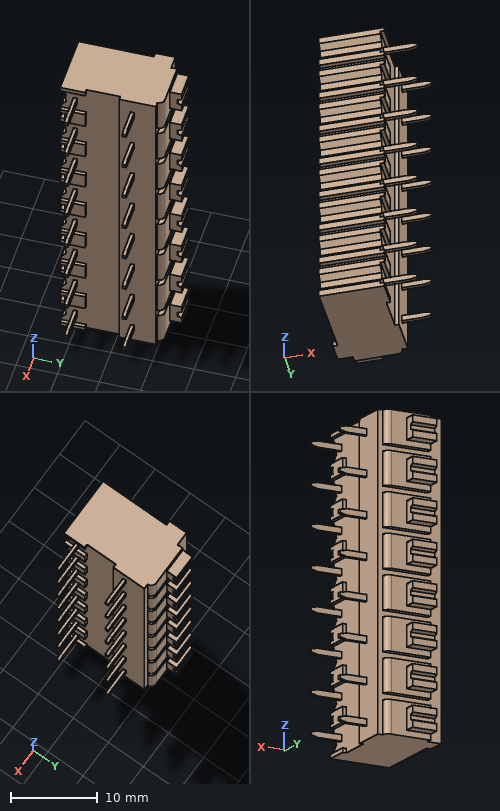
import cadquery as cq


position_count = 8
length = 39.2
cell_height = 4.2
pitch = (length - cell_height) / (position_count - 1)
gap_height = pitch - cell_height

body_right = 8.4
wall_left = 0.6
shoulder_bottom = 9.05
shoulder_top = 11.52
shoulder_right = 7.72
crown_left = 1.8
crown_top = 12.25
crown_radius = crown_top - shoulder_top
standoff_height = 0.47
channel_bottom = 3.0
channel_top = 7.1

rib_recess_top = 10.43
rib_width = 0.7

groove_depth = 0.6
groove_mouth = 2.4
groove_floor = 0.98
pocket_width = 3.1

block_left = 1.75
block_right = 4.95
block_top = 13.65
block_width = 2.65
notch_mouth = 0.98
notch_floor = 0.5
notch_depth = 0.5

pin_end = 11.9
pin_width = 0.8
pin_thickness = 0.45
pin_tip_width = 0.4
pin_tip_length = 0.82
pin_rows = (1.72, 8.7)

cell_centers = [cell_height / 2 + i * pitch for i in range(position_count)]
gap_centers = [cell_height + gap_height / 2 + i * pitch for i in range(position_count - 1)]


def box(x_range, y_range, z_range):
    """Box between the given low and high limits on each axis."""
    (x0, x1), (y0, y1), (z0, z1) = x_range, y_range, z_range
    return cq.Workplane("XY").box(x1 - x0, y1 - y0, z1 - z0, centered=False).translate((x0, y0, z0))


def span(center, width):
    """Low and high limit of a width centred on a position."""
    return center - width / 2, center + width / 2


def make_housing():
    """Constant cross-section along Z: shoulder, rounded crown and two standoffs."""
    standoff_base = body_right - standoff_height
    return (
        cq.Workplane("XY")
        .moveTo(wall_left, 0)
        .lineTo(body_right, 0)
        .lineTo(body_right, channel_bottom)
        .lineTo(standoff_base, channel_bottom)
        .lineTo(standoff_base, channel_top)
        .lineTo(body_right, channel_top)
        .lineTo(body_right, shoulder_top)
        .lineTo(shoulder_right, shoulder_top)
        .radiusArc((shoulder_right - crown_radius, crown_top), -crown_radius)
        .lineTo(crown_left, crown_top)
        .lineTo(crown_left, shoulder_top)
        .lineTo(0, shoulder_top)
        .lineTo(0, shoulder_bottom)
        .lineTo(wall_left, shoulder_bottom)
        .close()
        .extrude(length)
    )


def make_gap_slots(z):
    """Slots between neighbouring cells, in the side wall and through the crown."""
    z_range = span(z, gap_height)
    wall_slot = box((0, body_right), (0, groove_depth), z_range)
    crown_slot = box((crown_left, body_right), (shoulder_top, crown_top), z_range)
    return wall_slot.union(crown_slot)


def make_rib_recesses():
    """Recesses under the shoulder that leave one rib at each gap and at both ends."""
    rib_centers = [rib_width / 2, *gap_centers, length - rib_width / 2]
    recesses = cq.Workplane("XY")
    for lower, upper in zip(rib_centers, rib_centers[1:]):
        z_range = (lower + rib_width / 2, upper - rib_width / 2)
        recesses = recesses.add(box((0, wall_left), (shoulder_bottom, rib_recess_top), z_range))
    return recesses.combine()


def make_groove(z):
    """Trapezoidal groove along X in the side wall of one cell."""
    return (
        cq.Workplane("YZ")
        .polyline([
            (0, z - groove_mouth / 2),
            (groove_depth, z - groove_floor / 2),
            (groove_depth, z + groove_floor / 2),
            (0, z + groove_mouth / 2),
        ])
        .close()
        .extrude(body_right)
    )


def make_pocket(z):
    """Opening through the standoff around the pin next to the side wall."""
    return box((body_right - standoff_height, body_right), (0, channel_bottom), span(z, pocket_width))


def make_block(z):
    """Locking block on the crown with a tapered notch in its outer face."""
    notch_bottom = block_top - notch_depth
    return (
        cq.Workplane("YZ", origin=(block_left, 0, 0))
        .polyline([
            (shoulder_top, z - block_width / 2),
            (block_top, z - block_width / 2),
            (block_top, z - notch_mouth / 2),
            (notch_bottom, z - notch_floor / 2),
            (notch_bottom, z + notch_floor / 2),
            (block_top, z + notch_mouth / 2),
            (block_top, z + block_width / 2),
            (shoulder_top, z + block_width / 2),
        ])
        .close()
        .extrude(block_right - block_left)
    )


def make_pin(y, z):
    """Flat pin with a tapered tip, rooted inside the housing."""
    root = body_right - 2 * standoff_height
    tip_start = pin_end - pin_tip_length
    return (
        cq.Workplane("XZ", origin=(0, y, 0))
        .polyline([
            (root, z - pin_width / 2),
            (tip_start, z - pin_width / 2),
            (pin_end, z - pin_tip_width / 2),
            (pin_end, z + pin_tip_width / 2),
            (tip_start, z + pin_width / 2),
            (root, z + pin_width / 2),
        ])
        .close()
        .extrude(pin_thickness / 2, both=True)
    )


result = make_housing().cut(make_rib_recesses())
for gap_z in gap_centers:
    result = result.cut(make_gap_slots(gap_z))
for cell_z in cell_centers:
    result = result.cut(make_groove(cell_z)).cut(make_pocket(cell_z)).union(make_block(cell_z))
    for pin_y in pin_rows:
        result = result.union(make_pin(pin_y, cell_z))